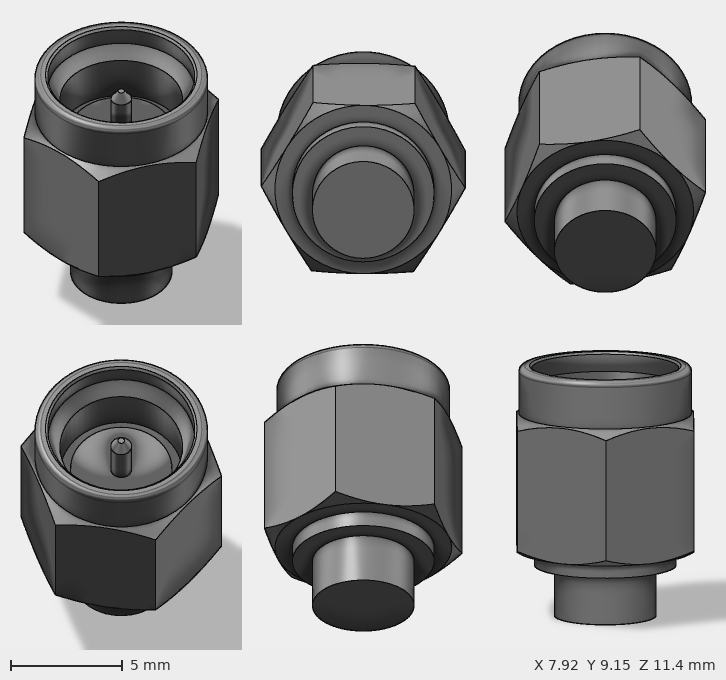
import cadquery as cq
import math

total_height = 11.4
tail_top = 2.3
nut_bottom = 3.01
nut_top = 9.25

tail_radius = 2.28
collar_radius = 3.18
nut_across_flats = 7.92
sleeve_radius = 3.88
rim_fillet = 0.26
nut_chamfer_angle = 30.0

mouth_radius = 3.4
mouth_chamfer = 0.1
bore_radius = mouth_radius - mouth_chamfer
bore_depth = 0.89
socket_radius = 2.75
seat_depth = bore_depth + bore_radius - socket_radius
floor_depth = 3.47
insulator_radius = 2.28
insulator_depth = 3.17

pin_radius = 0.47
pin_tip_radius = 0.15
pin_tip_depth = 0.95
pin_shoulder_depth = 1.38


def cylinder(radius, bottom, top):
    return cq.Workplane("XY").workplane(offset=bottom).circle(radius).extrude(top - bottom)


def revolved(profile):
    """Turn a closed (radius, height) profile about the Z axis."""
    return cq.Workplane("XZ").polyline(profile).close().revolve(360, (0, 0, 0), (0, 1, 0))


def hex_nut():
    """Hexagon with flats facing +X and -X, corners bevelled by a cone at each end."""
    flat_radius = nut_across_flats / 2
    corner_radius = flat_radius / math.cos(math.pi / 6)
    bevel_slope = math.tan(math.radians(nut_chamfer_angle))
    lower_bevel = (corner_radius - flat_radius) * bevel_slope
    upper_bevel = (corner_radius - sleeve_radius) * bevel_slope
    prism = (
        cq.Workplane("XY")
        .workplane(offset=nut_bottom)
        .polygon(6, 2 * corner_radius)
        .extrude(nut_top - nut_bottom)
        .rotate((0, 0, 0), (0, 0, 1), 30)
    )
    envelope = revolved([
        (0, nut_bottom),
        (flat_radius, nut_bottom),
        (corner_radius, nut_bottom + lower_bevel),
        (corner_radius, nut_top - upper_bevel),
        (sleeve_radius, nut_top),
        (0, nut_top),
    ])
    return prism.intersect(envelope)


def bore():
    """Stepped cavity with a chamfered mouth and a conical seat."""
    return revolved([
        (0, total_height),
        (mouth_radius, total_height),
        (bore_radius, total_height - mouth_chamfer),
        (bore_radius, total_height - bore_depth),
        (socket_radius, total_height - seat_depth),
        (socket_radius, total_height - floor_depth),
        (0, total_height - floor_depth),
    ])


def pin():
    """Centre contact with a tapered tip, rooted in the cavity floor."""
    return revolved([
        (0, total_height - floor_depth),
        (pin_radius, total_height - floor_depth),
        (pin_radius, total_height - pin_shoulder_depth),
        (pin_tip_radius, total_height - pin_tip_depth),
        (0, total_height - pin_tip_depth),
    ])


tail = cylinder(tail_radius, 0, tail_top)
collar = cylinder(collar_radius, tail_top, nut_bottom)
sleeve = cylinder(sleeve_radius, nut_bottom, total_height).faces(">Z").edges().fillet(rim_fillet)
insulator = cylinder(insulator_radius, total_height - floor_depth, total_height - insulator_depth)

body = tail.union(collar).union(sleeve).union(hex_nut())
result = body.cut(bore()).union(insulator).union(pin())